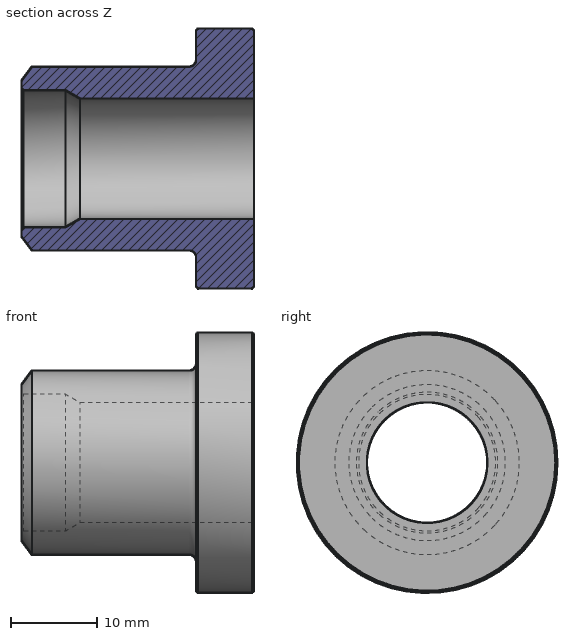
import cadquery as cq
import math

total_length = 26.92
flange_diameter = 30.18
flange_thickness = 6.73
flange_chamfer = 0.25

sleeve_diameter = 21.34
tip_diameter = 18.1
tip_chamfer_length = 1.2
neck_fillet_radius = 0.79

bore_diameter = 13.92
counterbore_diameter = 15.85
counterbore_depth = 5.08
counterbore_mouth_chamfer = 0.25
step_angle = 30.0

flange_radius = flange_diameter / 2
sleeve_radius = sleeve_diameter / 2
tip_radius = tip_diameter / 2
bore_radius = bore_diameter / 2
counterbore_radius = counterbore_diameter / 2
flange_face = total_length - flange_thickness
step_length = (counterbore_radius - bore_radius) / math.tan(math.radians(step_angle))


def revolve_about_x(profile):
    """Turn a closed profile, drawn as (x, radius), about the X axis."""
    return profile.close().revolve(360, (0, 0, 0), (1, 0, 0))


def make_body():
    """Sleeve with a chamfered tip, filleted into a chamfered flange."""
    fillet_offset = neck_fillet_radius * (1 - math.sqrt(0.5))
    profile = (
        cq.Workplane("XY")
        .lineTo(0, tip_radius)
        .lineTo(tip_chamfer_length, sleeve_radius)
        .lineTo(flange_face - neck_fillet_radius, sleeve_radius)
        .threePointArc(
            (flange_face - fillet_offset, sleeve_radius + fillet_offset),
            (flange_face, sleeve_radius + neck_fillet_radius),
        )
        .lineTo(flange_face, flange_radius - flange_chamfer)
        .lineTo(flange_face + flange_chamfer, flange_radius)
        .lineTo(total_length - flange_chamfer, flange_radius)
        .lineTo(total_length, flange_radius - flange_chamfer)
        .lineTo(total_length, 0)
    )
    return revolve_about_x(profile)


def make_bore():
    """Through bore with a conical step up to a counterbore at the sleeve tip."""
    profile = (
        cq.Workplane("XY")
        .lineTo(0, counterbore_radius + counterbore_mouth_chamfer)
        .lineTo(counterbore_mouth_chamfer, counterbore_radius)
        .lineTo(counterbore_depth, counterbore_radius)
        .lineTo(counterbore_depth + step_length, bore_radius)
        .lineTo(total_length, bore_radius)
        .lineTo(total_length, 0)
    )
    return revolve_about_x(profile)


result = make_body().cut(make_bore())